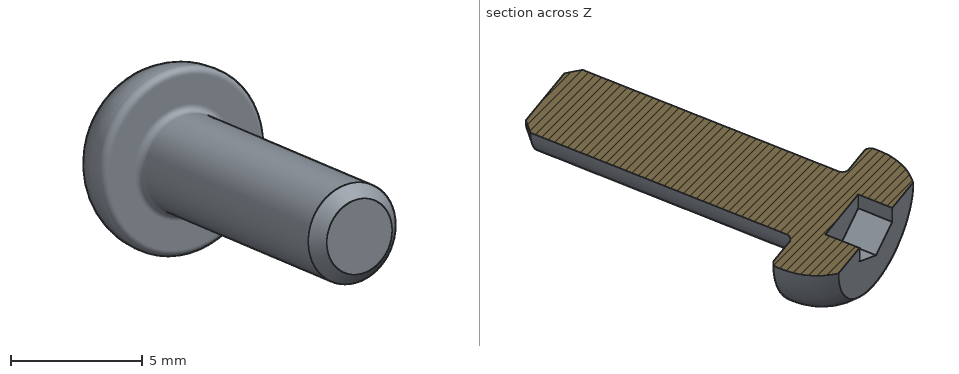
import cadquery as cq
import math

total_length = 14.5
head_height = 2.5
head_diameter = 7.5
head_face_diameter = 5.75
dome_height = 1.97
rim_fillet = 0.29
shank_diameter = 4.0
neck_fillet = 0.29
tip_chamfer = 0.51
socket_flats = 2.5
socket_depth = 1.5

head_radius = head_diameter / 2
face_radius = head_face_diameter / 2
shank_radius = shank_diameter / 2


def dome_midpoint():
    """Point halfway along the dome arc, which meets the rim tangentially."""
    drop = head_radius - face_radius
    arc_radius = (dome_height**2 + drop**2) / (2 * drop)
    half_angle = math.asin(dome_height / arc_radius) / 2
    x = dome_height - arc_radius * math.sin(half_angle)
    radius = head_radius - arc_radius * (1 - math.cos(half_angle))
    return x, radius


def screw_body():
    """Head and shank, with a rounded rim, concave neck and chamfered tip."""
    diagonal = math.sqrt(0.5)
    rim_center_x = head_height - rim_fillet
    rim_center_radius = head_radius - rim_fillet
    rim_mid = (rim_center_x + rim_fillet * diagonal, rim_center_radius + rim_fillet * diagonal)
    neck_center_x = head_height + neck_fillet
    neck_center_radius = shank_radius + neck_fillet
    neck_mid = (neck_center_x - neck_fillet * diagonal, neck_center_radius - neck_fillet * diagonal)

    profile = (
        cq.Workplane("XY")
        .lineTo(0, face_radius)
        .threePointArc(dome_midpoint(), (dome_height, head_radius))
        .lineTo(rim_center_x, head_radius)
        .threePointArc(rim_mid, (head_height, rim_center_radius))
        .lineTo(head_height, neck_center_radius)
        .threePointArc(neck_mid, (neck_center_x, shank_radius))
        .lineTo(total_length - tip_chamfer, shank_radius)
        .lineTo(total_length, shank_radius - tip_chamfer)
        .lineTo(total_length, 0)
        .close()
    )
    return profile.revolve(360, (0, 0, 0), (1, 0, 0))


def hex_socket():
    """Hexagonal recess with two corners on the Z axis."""
    corner_diameter = socket_flats / math.cos(math.pi / 6)
    return (
        cq.Workplane("YZ")
        .transformed(rotate=(0, 0, 90))
        .polygon(6, corner_diameter)
        .extrude(socket_depth)
    )


result = screw_body().cut(hex_socket())